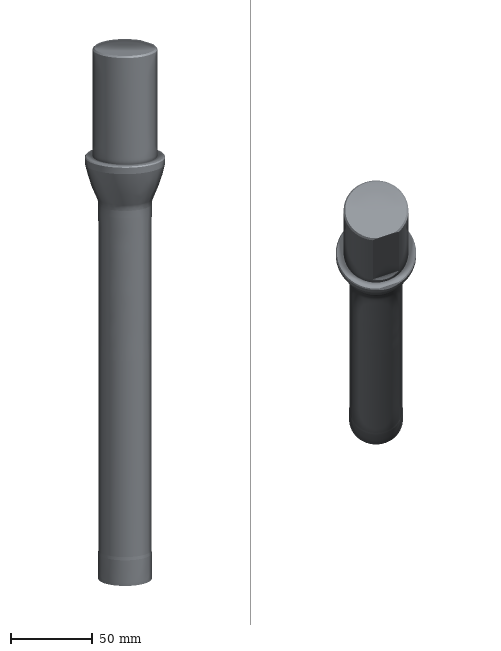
import cadquery as cq

shank_diameter = 40.0
flange_diameter = 49.5
neck_diameter = 33.2
rod_diameter = 33.0
tip_diameter = 33.2

total_length = 342.0
flange_top = 272.5
flange_bottom = 267.8
flare_bottom = 247.3
neck_top = 241.8
neck_bottom = 237.5
taper_bottom = 145.5
rod_shoulder = 19.5
tip_top = 17.5

shank_chamfer = 1.0
flange_chamfer = 0.7
tip_point_height = 1.0

flare_bottom_radius = 18.0

flare_end_direction = (0.2, 1.0)

flat_offset = 18.0
flat_bottom = 277.7


def make_holder():
    """Shank, flange, flare and long rod, turned as one profile."""
    shank_radius = shank_diameter / 2
    flange_radius = flange_diameter / 2
    neck_radius = neck_diameter / 2
    rod_radius = rod_diameter / 2
    profile = (
        cq.Workplane("XZ")
        .moveTo(0, tip_top)
        .lineTo(tip_diameter / 2, tip_top)
        .lineTo(rod_radius, rod_shoulder)
        .lineTo(rod_radius, taper_bottom)
        .lineTo(neck_radius, neck_bottom)
        .lineTo(neck_radius, neck_top)
        .spline(
            [(flare_bottom_radius, flare_bottom), (flange_radius, flange_bottom)],
            tangents=[(0, 1), flare_end_direction],
            includeCurrent=True,
        )
        .lineTo(flange_radius, flange_top - flange_chamfer)
        .lineTo(flange_radius - flange_chamfer, flange_top)
        .lineTo(shank_radius, flange_top)
        .lineTo(shank_radius, total_length - shank_chamfer)
        .lineTo(shank_radius - shank_chamfer, total_length)
        .lineTo(0, total_length)
        .close()
    )
    return profile.revolve(360, (0, 0, 0), (0, 1, 0)).cut(make_flat_cutter())


def make_flat_cutter():
    """Material removed for the shank flat, with a 45 degree run-out at its lower end."""
    outer_offset = flange_diameter / 2
    run_out_bottom = flat_bottom - (outer_offset - flat_offset)
    return (
        cq.Workplane("YZ")
        .moveTo(flat_offset, flat_bottom)
        .lineTo(outer_offset, run_out_bottom)
        .lineTo(outer_offset, total_length)
        .lineTo(flat_offset, total_length)
        .close()
        .extrude(shank_diameter / 2, both=True)
    )


def make_tip():
    """Cylindrical cutting end below the rod, with a shallow conical point."""
    tip_radius = tip_diameter / 2
    return (
        cq.Workplane("XZ")
        .lineTo(tip_radius, tip_point_height)
        .lineTo(tip_radius, tip_top)
        .lineTo(0, tip_top)
        .close()
        .revolve(360, (0, 0, 0), (0, 1, 0))
    )


holder = make_holder()
tip = make_tip()
result = cq.Compound.makeCompound([holder.val(), tip.val()])